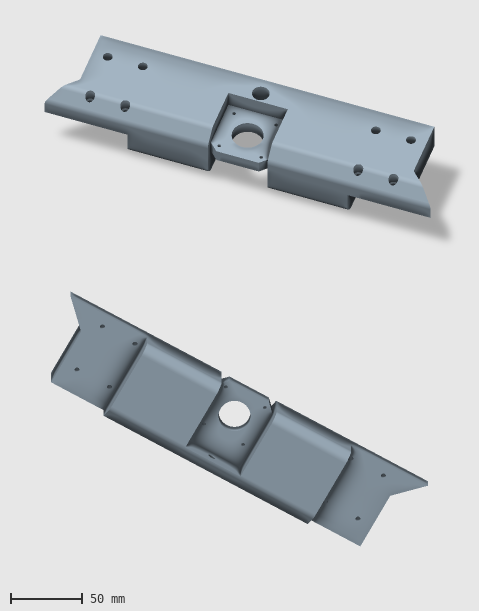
import cadquery as cq

length = 285.8
depth = 62.0
height = 42.5

body_length = 247.2
miter = (length - body_length) / 2
block_length = 163.2
wing_bottom = height - 21.5

top_bevel = 10.0
front_bottom_bevel = 5.1
back_bottom_bevel = 9.0
blend_radius = 5.7

bay_width = 44.0
bay_back = -19.5
undercut_back = -10.0
plate_top = height - 13.0
plate_thickness = 9.5
plate_bottom = plate_top - plate_thickness
plate_corner = 6.3
motor_y = -41.2
motor_bore = 22.3
motor_hole_pitch = 31.2
motor_hole_diameter = 2.51

screw_x_positions = (86.3, 112.3)
screw_y_positions = (-17.0, -53.2)
screw_diameter = 3.5
screw_head_diameter = 7.0
screw_head_depth = 8.5

well_x = -0.5
well_y = -12.3
well_diameter = 12.3
cross_hole_z = 11.1
well_depth = 14.3
cross_hole_diameter = 3.0
cross_bore_diameter = 5.7
cross_bore_depth = 4.3


def box_between(x_size, y_back, y_front, z_low, z_high):
    """Box centred on X between the given Y and Z limits."""
    return (
        cq.Workplane("XY")
        .box(x_size, y_back - y_front, z_high - z_low, centered=(True, False, False))
        .translate((0, y_front, z_low))
    )


def vertical_holes(points, diameter, z_low, z_high):
    """Cylinders along Z at the given XY points."""
    return (
        cq.Workplane("XY", origin=(0, 0, z_low))
        .pushPoints(points)
        .circle(diameter / 2)
        .extrude(z_high - z_low)
    )


def cross_hole(diameter, y_back, y_front):
    """Cylinder along Y on the cross hole axis."""
    return (
        cq.Workplane("XZ", origin=(well_x, y_back, cross_hole_z))
        .circle(diameter / 2)
        .extrude(y_back - y_front)
    )


bar = (
    cq.Workplane("YZ", origin=(-length / 2, 0, 0))
    .moveTo(0, height)
    .lineTo(0, back_bottom_bevel)
    .lineTo(-back_bottom_bevel, 0)
    .lineTo(front_bottom_bevel - depth, 0)
    .lineTo(-depth, front_bottom_bevel)
    .lineTo(-depth, height - top_bevel)
    .lineTo(top_bevel - depth, height)
    .close()
    .extrude(length)
    .edges("|X")
    .edges(cq.selectors.BoxSelector((-length, -depth - 3, -3), (length, -0.3, height + 3)))
    .fillet(blend_radius)
)

wing_outline = (
    cq.Workplane("XY", origin=(0, 0, wing_bottom))
    .polyline([
        (-body_length / 2, 0),
        (body_length / 2, 0),
        (body_length / 2, miter - depth),
        (length / 2, -depth),
        (-length / 2, -depth),
        (-body_length / 2, miter - depth),
    ])
    .close()
    .extrude(height - wing_bottom)
)
lower_block = box_between(block_length, 0, -depth, 0, wing_bottom)
part = bar.intersect(wing_outline.union(lower_block))

part = part.cut(box_between(bay_width, bay_back, -depth, 0, height))
part = part.cut(box_between(bay_width, undercut_back, -depth, 0, plate_bottom))

plate = (
    box_between(bay_width, bay_back, -depth, plate_bottom, plate_top)
    .edges("|Z and <Y")
    .chamfer(plate_corner)
)
half_pitch = motor_hole_pitch / 2
motor_hole_points = [
    (x, motor_y + y) for x in (-half_pitch, half_pitch) for y in (-half_pitch, half_pitch)
]
plate = plate.cut(vertical_holes([(0, motor_y)], motor_bore, 0, height))
plate = plate.cut(vertical_holes(motor_hole_points, motor_hole_diameter, 0, height))
part = part.union(plate)

screw_points = [
    (side * x, y) for side in (-1, 1) for x in screw_x_positions for y in screw_y_positions
]
part = part.cut(vertical_holes(screw_points, screw_diameter, 0, height))
part = part.cut(vertical_holes(screw_points, screw_head_diameter, height - screw_head_depth, height))

part = part.cut(vertical_holes([(well_x, well_y)], well_diameter, height - well_depth, height))
part = part.cut(cross_hole(cross_hole_diameter, 0, undercut_back))
part = part.cut(cross_hole(cross_bore_diameter, undercut_back + cross_bore_depth, undercut_back))

result = part